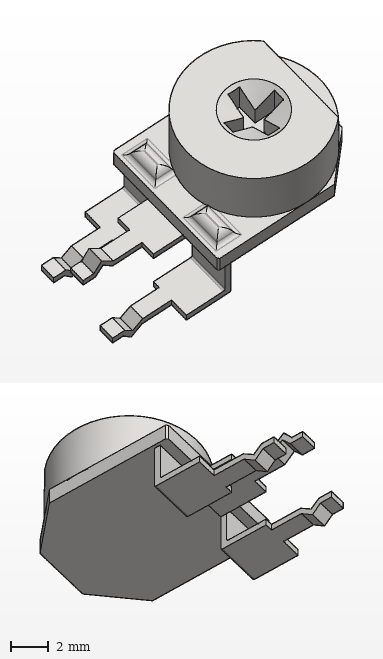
import cadquery as cq
import math


overall_length = 16.48
rotor_radius = 4.5
board_length = 10.5
board_thickness = 1.05
board_back = rotor_radius
board_front = board_back - board_length
board_bottom = -board_thickness
back_corner_cut = rotor_radius * (2 - math.sqrt(2))
front_corner_cut = 0.12

rotor_height = 3.51
step_drop = 1.19
step_width = 1.32
dish_radius = 2.0
dish_depth = 1.12
cross_length = 3.41
cross_width = 0.77
cross_depth = 2.0

bump_length = 2.8
bump_width = 1.73
bump_height = 0.53
bump_flare = 0.31
bump_ridge_width = 0.05
bump_center_x = 2.6
bump_front_gap = 0.25
bump_center_y = board_front + bump_front_gap + bump_width / 2

lead_spacing = 2.5
prong_width = 1.05
plate_reach = 2.0
prong_reach = overall_length - board_length
plate_end = board_front - plate_reach
prong_tip = board_front - prong_reach
leg_inner_x = 1.5
leg_width = 2.8
leg_back_inset = 1.02
leg_back = board_front + leg_back_inset
leg_thickness = 0.4
leg_drop = 2.95
leg_bottom = board_bottom - leg_drop
leg_bend_radius = 0.12
side_lead_thickness = 0.45
center_lead_thickness = 0.41

kink_start_top = 3.94
kink_start_bottom = 3.99
kink_peak_inner = 4.63
kink_peak_outer = 4.73
kink_end_inner = 5.15
kink_end_outer = 5.25
center_kink_rise = 0.7
center_kink_inner_rise = 0.63
side_kink_drop = 0.56
side_kink_inner_drop = 0.5


def box(x_min, x_max, y_min, y_max, z_min, z_max):
    size = (x_max - x_min, y_max - y_min, z_max - z_min)
    return cq.Workplane("XY").box(*size, centered=False).translate((x_min, y_min, z_min))


def make_board():
    board = box(-rotor_radius, rotor_radius, board_front, board_back, board_bottom, 0)
    board = board.edges("|Z and >Y").chamfer(back_corner_cut)
    return board.edges("|Z and <Y").chamfer(front_corner_cut)


def make_rotor():
    rotor = cq.Workplane("XY").circle(rotor_radius).extrude(rotor_height)
    step = box(
        -rotor_radius, rotor_radius,
        rotor_radius - step_width, rotor_radius,
        rotor_height - step_drop, rotor_height,
    )
    dish = cq.Workplane("XY").add(
        cq.Solid.makeCone(0, dish_radius, dish_depth, pnt=cq.Vector(0, 0, rotor_height - dish_depth))
    )
    cross_floor = cq.Workplane("XY").workplane(offset=rotor_height - cross_depth)
    slot_along_x = cross_floor.rect(cross_length, cross_width).extrude(cross_depth)
    slot_along_y = cross_floor.rect(cross_width, cross_length).extrude(cross_depth)
    return rotor.cut(step).cut(dish).cut(slot_along_x).cut(slot_along_y)


def make_ridge(plane, span, depth):
    """Straight ridge with a concave flare and a convex crown on each flank and a level top."""
    foot = span / 2
    flank = (bump_width - bump_ridge_width) / 2
    top = foot - flank
    turn = 2 * math.atan(bump_height / flank)
    flare_radius = bump_flare / math.sin(turn)
    crown_radius = (flank - bump_flare) / math.sin(turn)

    def flare_point(angle):
        return foot - flare_radius * math.sin(angle), flare_radius * (1 - math.cos(angle))

    def crown_point(angle):
        return top + crown_radius * math.sin(angle), bump_height - crown_radius * (1 - math.cos(angle))

    def mirrored(point):
        return -point[0], point[1]

    flare_middle = flare_point(turn / 2)
    shoulder = flare_point(turn)
    crown_middle = crown_point(turn / 2)
    return (
        cq.Workplane(plane).workplane(offset=-depth / 2)
        .moveTo(-foot, 0)
        .lineTo(foot, 0)
        .threePointArc(flare_middle, shoulder)
        .threePointArc(crown_middle, (top, bump_height))
        .lineTo(-top, bump_height)
        .threePointArc(mirrored(crown_middle), mirrored(shoulder))
        .threePointArc(mirrored(flare_middle), (-foot, 0))
        .close()
        .extrude(depth)
    )


def make_bump(side):
    """Intersecting a lengthwise and a crosswise ridge gives mitred corners."""
    lengthwise = make_ridge("YZ", bump_width, bump_length)
    crosswise = make_ridge("XZ", bump_length, bump_width)
    return lengthwise.intersect(crosswise).translate((side * bump_center_x, bump_center_y, 0))


def make_prong(center_x, outer_z, thickness, direction, outer_start, inner_start, rise, inner_rise):
    """Strip from the plate end to the tip with a V kink; direction is +1 for up, -1 for down."""
    inner_z = outer_z - direction * thickness
    peak_z = outer_z + direction * rise
    inner_peak_z = inner_z + direction * inner_rise
    outline = [
        (plate_end, outer_z),
        (board_front - outer_start, outer_z),
        (board_front - kink_peak_outer, peak_z),
        (board_front - kink_end_outer, outer_z),
        (prong_tip, outer_z),
        (prong_tip, inner_z),
        (board_front - kink_end_inner, inner_z),
        (board_front - kink_peak_inner, inner_peak_z),
        (board_front - inner_start, inner_z),
        (plate_end, inner_z),
    ]
    prong = cq.Workplane("YZ").polyline(outline).close().extrude(prong_width / 2, both=True)
    return prong.translate((center_x, 0, 0))


def make_center_lead():
    plate = box(
        -leg_inner_x, leg_inner_x, plate_end, leg_back,
        board_bottom - center_lead_thickness, board_bottom,
    )
    prong = make_prong(
        0, board_bottom, center_lead_thickness, 1,
        kink_start_top, kink_start_bottom, center_kink_rise, center_kink_inner_rise,
    )
    return plate.union(prong)


def make_side_lead(side):
    leg_front = leg_back - leg_thickness
    plate_top = leg_bottom + side_lead_thickness
    leg_x = side * (leg_inner_x + leg_width / 2)
    leg_left = leg_x - leg_width / 2
    leg_right = leg_x + leg_width / 2
    leg = box(leg_left, leg_right, leg_front, leg_back, leg_bottom, board_bottom)
    plate = box(leg_left, leg_right, plate_end, leg_back, leg_bottom, plate_top)
    bracket = leg.union(plate)
    inner_corner = cq.selectors.NearestToPointSelector((leg_x, leg_front, plate_top))
    outer_corner = cq.selectors.NearestToPointSelector((leg_x, leg_back, leg_bottom))
    bracket = bracket.edges(inner_corner).fillet(leg_bend_radius)
    bracket = bracket.edges(outer_corner).fillet(leg_bend_radius)
    prong = make_prong(
        side * lead_spacing, leg_bottom, side_lead_thickness, -1,
        kink_start_bottom, kink_start_top, side_kink_drop, side_kink_inner_drop,
    )
    return bracket.union(prong)


result = make_board().union(make_rotor()).union(make_center_lead())
for side in (-1, 1):
    result = result.union(make_bump(side)).union(make_side_lead(side))